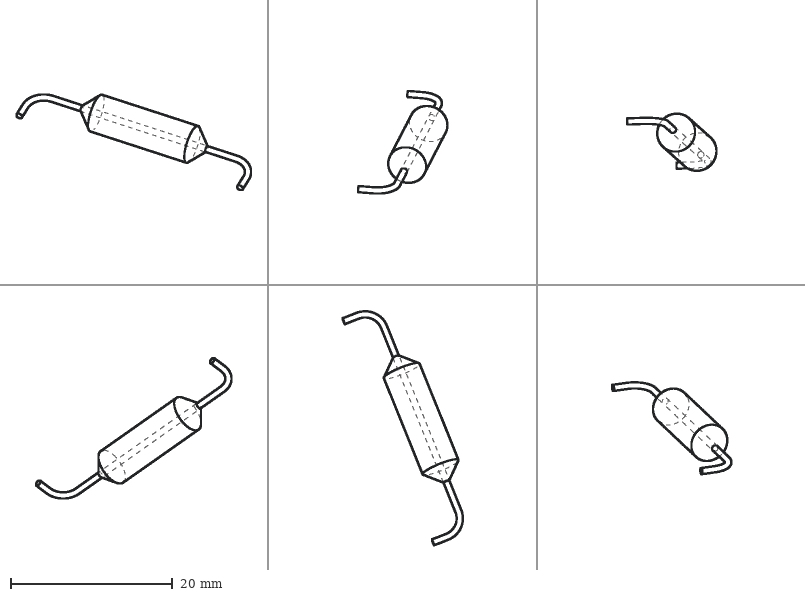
import cadquery as cq

overall_length = 30.8
wire_diameter = 0.8
wire_reach = 4.37
bend_radius = 2.5
housing_diameter = 4.8
housing_length = 16.95
barrel_length = 13.05

wire_radius = wire_diameter / 2
leg_x = overall_length / 2 - wire_radius
bend_start_x = leg_x - bend_radius


def make_housing():
    """Barrel with conical ends that taper to the wire, bored through for it."""
    housing_radius = housing_diameter / 2
    return (
        cq.Workplane("XY")
        .moveTo(-housing_length / 2, wire_radius)
        .lineTo(-barrel_length / 2, housing_radius)
        .lineTo(barrel_length / 2, housing_radius)
        .lineTo(housing_length / 2, wire_radius)
        .close()
        .revolve(360, (0, 0, 0), (1, 0, 0))
    )


def make_wire():
    """One round wire through the housing, with both ends bent toward -Y."""
    path = (
        cq.Workplane("XY")
        .moveTo(-leg_x, -wire_reach)
        .lineTo(-leg_x, -bend_radius)
        .radiusArc((-bend_start_x, 0), bend_radius)
        .lineTo(bend_start_x, 0)
        .radiusArc((leg_x, -bend_radius), bend_radius)
        .lineTo(leg_x, -wire_reach)
    )
    return (
        cq.Workplane("XZ", origin=(-leg_x, -wire_reach, 0))
        .circle(wire_radius)
        .sweep(path)
    )


housing = make_housing()
wire = make_wire()

result = cq.Compound.makeCompound([housing.val(), wire.val()])